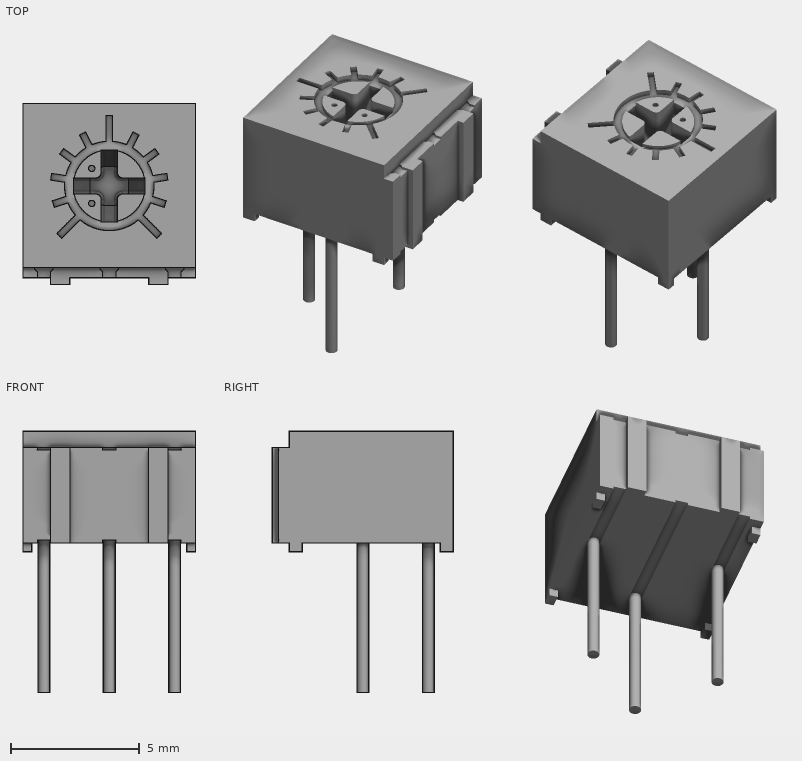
import cadquery as cq


width = 6.71
depth = 7.04
back_y = 3.21
cap_front_y = -3.17
block_front_y = -3.58
rib_front_y = back_y - depth
cap_height = 0.63
base_z = -4.35
rib_width = 0.75
rib_x = 1.91
foot_x = 0.35
foot_y = 0.52
foot_height = 0.35

pin_diameter = 0.47
pin_pitch = 2.54
pin_tip_z = -10.16
outer_pin_y = -0.3
middle_pin_y = outer_pin_y + pin_pitch

groove_width = 0.51
groove_depth = 0.11
groove_flare = 0.1
flare_gap = 0.07
groove_undercut = 0.02

dial_radius = 1.74
dial_depth = 0.25
tick_width = 0.26
tick_step = 27.0
ticks_per_side = 5
short_tick_radius = 2.29
long_tick_radius = 2.74
long_ticks = (-ticks_per_side, 0, ticks_per_side)

rotor_radius = 1.4
rotor_top_z = -0.08
slot_width = 0.63
slot_floor_z = -1.61
slot_corner_radius = 0.2
slot_floor_fillet = 0.11
ramp_start = 0.75
slot_end = 1.39
ramp_rise = 0.64
dot_diameter = 0.24
dot_depth = 0.15
dot_offset = 0.68


def box(x_min, x_max, y_min, y_max, z_min, z_max):
    size = (x_max - x_min, y_max - y_min, z_max - z_min)
    return cq.Workplane("XY").box(*size, centered=False).translate((x_min, y_min, z_min))


def make_housing():
    half = width / 2
    ledge_z = -cap_height
    foot_z = base_z - foot_height
    housing = box(-half, half, cap_front_y, back_y, base_z, 0)
    housing = housing.union(box(-half, half, block_front_y, cap_front_y, base_z, ledge_z))
    for x in (-rib_x, rib_x):
        rib = box(x - rib_width / 2, x + rib_width / 2, rib_front_y, block_front_y, base_z, ledge_z)
        housing = housing.union(rib)
    for x in (-half, half - foot_x):
        for y in (cap_front_y, back_y - foot_y):
            housing = housing.union(box(x, x + foot_x, y, y + foot_y, foot_z, base_z))
    return housing


def make_ledge_groove(x):
    """Groove across the front ledge, flared on both sides where it meets the cap."""
    narrow = groove_width / 2
    wide = narrow + groove_flare
    back = cap_front_y + groove_undercut
    flare_start_y = cap_front_y - flare_gap
    outline = [
        (x - wide, back),
        (x - wide, flare_start_y),
        (x - narrow, flare_start_y - groove_flare),
        (x - narrow, rib_front_y),
        (x + narrow, rib_front_y),
        (x + narrow, flare_start_y - groove_flare),
        (x + wide, flare_start_y),
        (x + wide, back),
    ]
    floor_z = -cap_height - groove_depth
    return cq.Workplane("XY").workplane(offset=floor_z).polyline(outline).close().extrude(groove_depth)


def make_base_groove(x, pin_y):
    """Groove along the underside, from the front face to the round seat of its pin."""
    half = groove_width / 2
    channel = box(x - half, x + half, rib_front_y, pin_y, base_z, base_z + groove_depth)
    seat = cq.Workplane("XY").workplane(offset=base_z).center(x, pin_y).circle(half).extrude(groove_depth)
    return channel.union(seat)


def make_pin(x, y):
    top_z = base_z + groove_depth
    pin = cq.Workplane("XY").circle(pin_diameter / 2).extrude(top_z - pin_tip_z)
    return pin.translate((x, y, pin_tip_z))


def make_dial():
    """Dial recess with its radial ticks; the rotor top is left standing inside it."""
    floor = cq.Workplane("XY").workplane(offset=-dial_depth)
    dial = floor.circle(dial_radius).extrude(dial_depth)
    for i in range(-ticks_per_side, ticks_per_side + 1):
        length = long_tick_radius if i in long_ticks else short_tick_radius
        tick = box(-tick_width / 2, tick_width / 2, 0, length, -dial_depth, 0)
        dial = dial.union(tick.rotate((0, 0, 0), (0, 0, 1), i * tick_step))
    rotor = floor.circle(rotor_radius).extrude(dial_depth + rotor_top_z)
    return dial.cut(rotor)


def is_beside_arm(edge):
    """True for edges that run along the slot arms; the edges across an arm are centred on an axis."""
    centre = edge.Center()
    return min(abs(centre.x), abs(centre.y)) > slot_width / 4


def make_cross_slot():
    """Cross slot with a rounded floor edge and a floor that ramps up towards each arm end."""
    reach = 2 * dial_radius
    height = rotor_top_z - slot_floor_z
    outline = cq.Sketch().rect(reach, slot_width).rect(slot_width, reach).clean()
    outline = outline.vertices().fillet(slot_corner_radius)
    cross = cq.Workplane("XY").workplane(offset=slot_floor_z).placeSketch(outline).extrude(height)

    top_half = ramp_start + height * (slot_end - ramp_start) / ramp_rise
    ramps = (
        cq.Workplane("XY").workplane(offset=slot_floor_z).rect(2 * ramp_start, 2 * ramp_start)
        .workplane(offset=height).rect(2 * top_half, 2 * top_half).loft()
    )
    cross = cross.intersect(ramps)
    cross = cross.edges("not(|Z)").edges("not(>Z)").filter(is_beside_arm).fillet(slot_floor_fillet)
    below_dial = box(-slot_end, slot_end, -slot_end, slot_end, slot_floor_z, -dial_depth)
    above_dial = box(-reach, reach, -reach, reach, -dial_depth, rotor_top_z)
    return cross.intersect(below_dial.union(above_dial))


def make_dots():
    """Two shallow round marks on the left quadrants of the rotor."""
    points = [(-dot_offset, -dot_offset), (-dot_offset, dot_offset)]
    top = cq.Workplane("XY").workplane(offset=rotor_top_z)
    return top.pushPoints(points).circle(dot_diameter / 2).extrude(-dot_depth)


pins = [(-pin_pitch, outer_pin_y), (0, middle_pin_y), (pin_pitch, outer_pin_y)]

result = make_housing().cut(make_dial()).cut(make_cross_slot()).cut(make_dots())
for x, y in pins:
    result = result.cut(make_ledge_groove(x)).cut(make_base_groove(x, y))
for x, y in pins:
    result = result.union(make_pin(x, y))